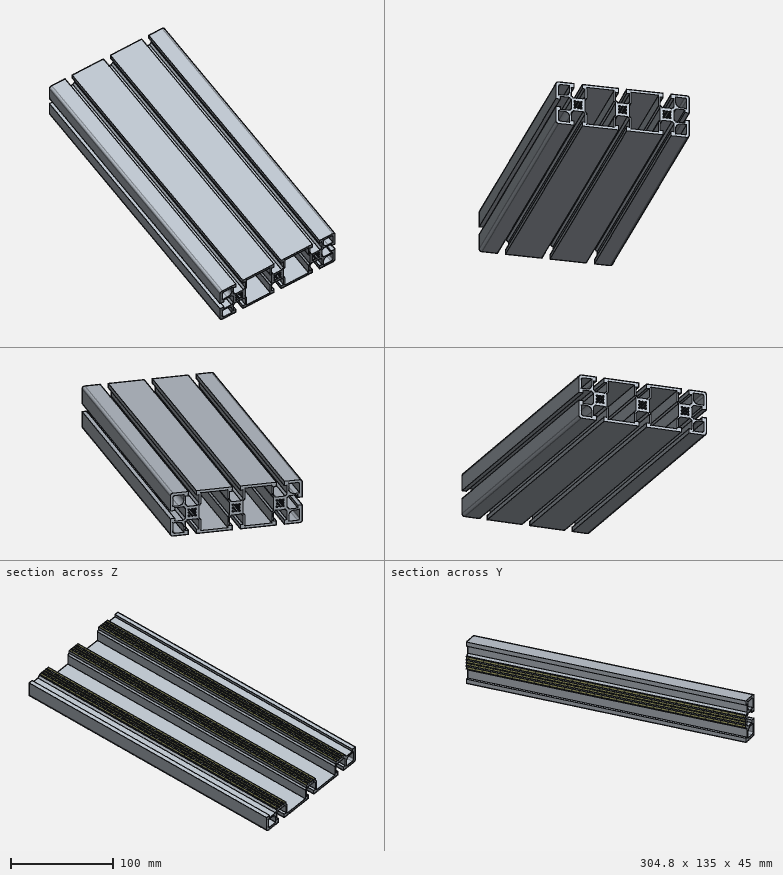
import cadquery as cq

length = 304.8
width = 135.0
height = 45.0
module_count = 3
pitch = (width - height) / (module_count - 1)
outer_radius = 2.7

slot_opening = 8.2
lip_thickness = 4.5
chamber_width = 14.0
chamber_chamfer = 2.0
core_width = 14.0
chamber_depth = (height - core_width) / 2 - lip_thickness

skin = 2.7
web = 1.68

corner_inner_radius = 5.5
corner_outer_radius = 2.0

step_offset = 1.37

channel_width = 6.7
relief_diameter = 1.35
groove_reach = 4.0

module_centers = [(i - (module_count - 1) / 2) * pitch for i in range(module_count)]
opposite_sides = (-1, 1)


def prism(section):
    """Extrude a closed Y-Z section over the full length, centred on X = 0."""
    return section.extrude(length / 2, both=True)


def rectangle(y_size, z_size, y=0, z=0):
    """Full-length bar of rectangular section centred on (y, z)."""
    return prism(cq.Workplane("YZ").center(y, z).rect(y_size, z_size))


def t_slot():
    """T-slot cutter opening upwards from a module centred on the origin."""
    top = height / 2
    opening = rectangle(slot_opening, lip_thickness, z=top - lip_thickness / 2)
    chamber_center = top - lip_thickness - chamber_depth / 2
    chamber = rectangle(chamber_width, chamber_depth, z=chamber_center)
    chamber = chamber.edges("|X and <Z").chamfer(chamber_chamfer)
    return opening.union(chamber)


def corner_hollow(y_side, z_side):
    """Hollow in one outer corner of the profile, between the skin and two slots."""
    near = chamber_width / 2 + web
    far = height / 2 - skin
    size = far - near
    middle = (near + far) / 2
    hollow = rectangle(size, size, middle, middle)
    hollow = hollow.edges("|X and >Y and >Z").fillet(corner_outer_radius)
    hollow = hollow.edges("|X and <Y and <Z").fillet(corner_inner_radius)
    if y_side < 0:
        hollow = hollow.mirror("XZ")
    if z_side < 0:
        hollow = hollow.mirror("XY")
    return hollow.translate((0, y_side * module_centers[-1], 0))


def middle_hollow(y):
    """Large hollow between two cores, widening to the core sides at mid height."""
    wall = pitch / 2 - chamber_width / 2 - web
    core_side = pitch / 2 - core_width / 2
    top = height / 2 - skin
    step_top = core_width / 2 + step_offset
    step_bottom = step_top - (core_side - wall)
    quarter = [(wall, top), (wall, step_top), (core_side, step_bottom)]
    right = quarter + [(py, -pz) for py, pz in reversed(quarter)]
    left = [(-py, pz) for py, pz in reversed(right)]
    return prism(cq.Workplane("YZ").center(y, 0).polyline(right + left).close())


def screw_channel(y):
    """Square channel with a round relief in each corner and a V groove in each side."""
    reliefs = prism(
        cq.Workplane("YZ")
        .center(y, 0)
        .rect(channel_width, channel_width, forConstruction=True)
        .vertices()
        .circle(relief_diameter / 2)
    )
    tips = [(groove_reach, 0), (0, groove_reach), (-groove_reach, 0), (0, -groove_reach)]
    grooves = prism(cq.Workplane("YZ").center(y, 0).polyline(tips).close())
    return rectangle(channel_width, channel_width, y).union(reliefs).union(grooves)


result = rectangle(width, height).edges("|X").fillet(outer_radius)

for center in module_centers:
    result = result.cut(screw_channel(center))
    for angle in (0, 180):
        slot = t_slot().rotate((0, 0, 0), (1, 0, 0), angle)
        result = result.cut(slot.translate((0, center, 0)))

for side in opposite_sides:
    end_slot = t_slot().rotate((0, 0, 0), (1, 0, 0), -90 * side)
    result = result.cut(end_slot.translate((0, side * module_centers[-1], 0)))
    for z_side in opposite_sides:
        result = result.cut(corner_hollow(side, z_side))

for lower, upper in zip(module_centers, module_centers[1:]):
    result = result.cut(middle_hollow((lower + upper) / 2))